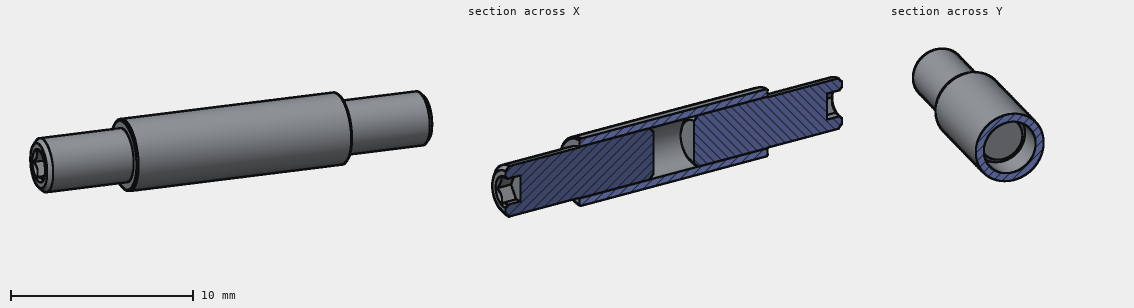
import cadquery as cq
import math

total_length = 22.7
stud_projection = 5.0
sleeve_length = total_length - 2 * stud_projection

sleeve_diameter = 4.0
sleeve_chamfer = 0.1

screw_diameter = 3.0
screw_end_diameter = 2.5
screw_chamfer = (screw_diameter - screw_end_diameter) / 2
screw_length = 2 * stud_projection

socket_across_flats = 1.5
socket_across_corners = socket_across_flats / math.cos(math.radians(30))
socket_depth = 1.0
socket_turn = 3.0
socket_mouth_diameter = 1.85
mouth_angle = 45.0


def make_sleeve():
    """Tube along Y with chamfered outer rims and a through bore for the screws."""
    end_plane = cq.Workplane("XZ", origin=(0, sleeve_length / 2, 0))
    blank = end_plane.circle(sleeve_diameter / 2).extrude(sleeve_length)
    chamfered = blank.faces("<Y or >Y").edges().chamfer(sleeve_chamfer)
    bore = end_plane.circle(screw_diameter / 2).extrude(sleeve_length)
    return chamfered.cut(bore)


def make_socket(end_plane):
    """Hexagonal recess with a conical mouth, sunk along the plane's normal."""
    turned_plane = end_plane.rotated((0, 0, -socket_turn))
    hexagon = cq.Workplane(turned_plane).polygon(6, socket_across_corners).extrude(socket_depth)
    mouth_radius = socket_mouth_diameter / 2
    cone_height = mouth_radius / math.tan(math.radians(mouth_angle))
    cone = cq.Solid.makeCone(mouth_radius, 0, cone_height, end_plane.origin, end_plane.zDir)
    return hexagon.union(cq.Workplane(cone))


def make_screw(side):
    """Set screw whose socket end faces -Y (side = -1) or +Y (side = 1)."""
    end_plane = cq.Plane(
        origin=(0, side * total_length / 2, 0),
        xDir=(1, 0, 0),
        normal=(0, -side, 0),
    )
    blank = cq.Workplane(end_plane).circle(screw_diameter / 2).extrude(screw_length)
    chamfered = blank.faces("<Y or >Y").edges().chamfer(screw_chamfer)
    return chamfered.cut(make_socket(end_plane))


sleeve = make_sleeve()
screws = [make_screw(side) for side in (-1, 1)]

result = cq.Compound.makeCompound([sleeve.val(), *[screw.val() for screw in screws]])